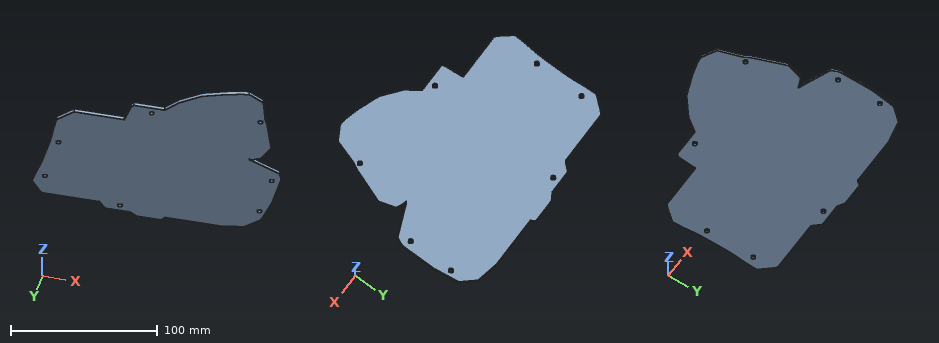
import cadquery as cq


plate_length = 165.0
plate_thickness = 3.0
hole_diameter = 3.0

left_half_width = 45.9
top_shoulder_y = 51.8
top_crest_y = 55.1
bottom_step_y = -62.7
bottom_tip_y = -93.1

left_end_half = [
    (1.5, 8.9),
    (1.2, 16.5),
    (0.3, 25.8),
    (0.0, 34.7),
    (7.1, 43.2),
    (9.7, left_half_width),
]

top_edge = [
    (50.3, left_half_width),
    (55.6, top_shoulder_y),
    (73.3, top_shoulder_y),
    (78.7, top_crest_y),
    (96.0, top_crest_y),
    (98.4, top_shoulder_y),
    (136.8, top_shoulder_y),
    (153.4, 48.5),
    (162.5, 38.5),
]

right_end = [
    (plate_length, 19.0),
    (plate_length, -6.5),
    (164.5, -9.0),
    (162.3, -13.9),
    (138.3, -24.1),
]

lower_lobe = [
    (141.1, -24.8),
    (146.1, -26.9),
    (149.9, -39.5),
    (141.1, -63.4),
    (140.0, -66.0),
    (138.2, -69.3),
    (132.5, -87.0),
    (122.6, -92.6),
    (121.0, bottom_tip_y),
    (117.2, -92.6),
    (106.8, -89.8),
    (92.1, -84.4),
    (90.0, -83.4),
    (76.8, -73.0),
    (69.2, bottom_step_y),
]

bottom_step = [
    (47.4, bottom_step_y),
    (46.0, -60.5),
    (44.9, -left_half_width),
]

left_hole_x = 7.3
right_hole_x = 159.0
hole_centres = [
    (left_hole_x, 27.2),
    (left_hole_x, -10.9),
    (right_hole_x, 29.4),
    (right_hole_x, -5.0),
    (64.9, 46.2),
    (61.4, -57.3),
    (135.9, -65.7),
]


def mirrored(points):
    """Reflect points about the centre line, keeping the outline direction."""
    return [(x, -y) for x, y in reversed(points)]


outline = left_end_half + top_edge + right_end + lower_lobe + bottom_step + mirrored(left_end_half)

plate = cq.Workplane("XY").polyline(outline).close().extrude(plate_thickness)

holes = (
    cq.Workplane("XY")
    .pushPoints(hole_centres)
    .circle(hole_diameter / 2)
    .extrude(plate_thickness)
)

result = plate.cut(holes)